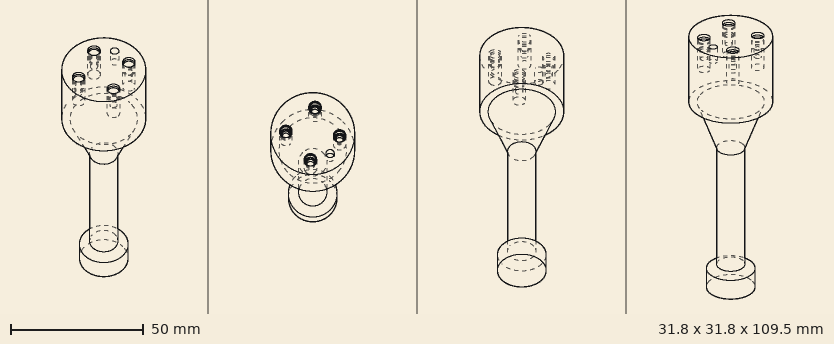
import cadquery as cq
import math

total_height = 109.52
head_diameter = 31.75
head_height = 28.575
taper_top_diameter = 25.4
taper_height = 20.1
stem_diameter = 10.67
tip_diameter = 18.44
tip_height = 8.25
tip_shoulder_height = 1.7

pitch_radius = 10.16
key_hole_diameter = 3.175
key_hole_depth = 6.35
socket_count = 4
first_socket_angle = 45.0
socket_spacing_angle = 360 / socket_count

socket_diameter = 4.78
socket_recess = 1.2
socket_length = 12.7

entry_diameter = 4.3
entry_taper_depth = 0.64
entry_depth = 4.0
contact_mouth_diameter = 3.57
contact_diameter = 2.79
contact_chamfer_depth = 0.5
contact_depth = 4.0
drill_point_angle = 118.0

head_bottom = total_height - head_height
taper_bottom = head_bottom - taper_height
shoulder_top = tip_height + tip_shoulder_height
socket_top = total_height - socket_recess
socket_bottom = socket_top - socket_length
entry_bottom = socket_top - entry_depth
contact_bottom = entry_bottom - contact_depth
drill_point_height = contact_diameter / 2 / math.tan(math.radians(drill_point_angle / 2))


def revolved(profile):
    """Turn a closed (radius, height) outline around the Z axis."""
    return cq.Workplane("XZ").polyline(profile).close().revolve(360, (0, 0, 0), (0, 1, 0))


def hole_cutter(diameter, bottom):
    """Cylinder on the Z axis from the given height up to the top face."""
    return cq.Workplane("XY", origin=(0, 0, bottom)).circle(diameter / 2).extrude(total_height - bottom)


def at_socket_position(shape, index):
    """Move a shape from the Z axis to one of the socket places on the pitch circle."""
    angle = first_socket_angle + index * socket_spacing_angle
    return shape.translate((pitch_radius, 0, 0)).rotate((0, 0, 0), (0, 0, 1), angle)


def make_housing():
    """Head, taper, stem and tip, with the key hole and the four socket holes."""
    housing = revolved([
        (0, 0),
        (tip_diameter / 2, 0),
        (tip_diameter / 2, tip_height),
        (stem_diameter / 2, shoulder_top),
        (stem_diameter / 2, taper_bottom),
        (taper_top_diameter / 2, head_bottom),
        (head_diameter / 2, head_bottom),
        (head_diameter / 2, total_height),
        (0, total_height),
    ])
    key_hole = hole_cutter(key_hole_diameter, total_height - key_hole_depth)
    housing = housing.cut(key_hole.translate((0, pitch_radius, 0)))

    socket_hole = hole_cutter(socket_diameter, socket_bottom)
    for index in range(socket_count):
        housing = housing.cut(at_socket_position(socket_hole, index))
    return housing


def make_socket(index):
    """Round sleeve with a flared entry bore and a narrower contact bore ending in a drill point."""
    socket = revolved([
        (0, socket_bottom),
        (socket_diameter / 2, socket_bottom),
        (socket_diameter / 2, socket_top),
        (entry_diameter / 2, socket_top - entry_taper_depth),
        (entry_diameter / 2, entry_bottom),
        (contact_mouth_diameter / 2, entry_bottom),
        (contact_diameter / 2, entry_bottom - contact_chamfer_depth),
        (contact_diameter / 2, contact_bottom),
        (0, contact_bottom - drill_point_height),
    ])
    return at_socket_position(socket, index)


housing = make_housing()
sockets = [make_socket(index) for index in range(socket_count)]

result = cq.Compound.makeCompound([housing.val(), *[socket.val() for socket in sockets]])